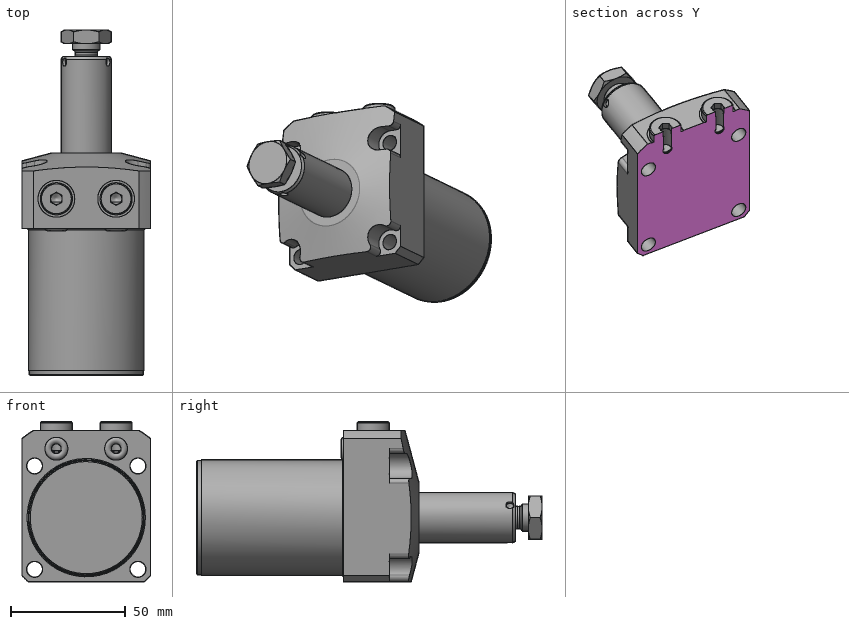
import cadquery as cq
import math


block_width = 56.0
block_length = 33.0
block_bottom = -block_width / 2
block_top = 38.0
top_corner_radius = 44.4
bottom_corner_chamfer = 2.75
nose_flat_radius = 15.0
nose_angle = 15.0

barrel_diameter = 50.5
barrel_length = 64.0
collar_diameter = 51.5
collar_length = 0.5
barrel_end_diameter = 49.8
barrel_end_length = 2.2
barrel_end_chamfer = 0.5

mount_spacing = 45.0
mount_hole_diameter = 6.8
pocket_radius = 5.5
pocket_depth = 13.0
pocket_mouth_radius = 2.0

port_spacing = 26.0
port_y = 13.0
plug_diameter = 14.0
plug_height = 3.81
plug_chamfer = 0.5
plug_seat_diameter = 16.0
plug_seat_depth = 0.2
plug_hex_size = 5.0
plug_hex_depth = 3.0
plug_hex_turn = 30.0
port_bore_diameter = 5.0
port_bore_bottom = 29.2
drill_tip_angle = 118.0
screw_z = 30.0
screw_diameter = 10.0
screw_bore_diameter = 4.2
screw_height = 1.0
screw_bore_end_y = port_y - 1.4

rod_diameter = 22.0
rod_end_y = block_length + 42.0
rod_chamfer_length = 1.3
rod_chamfer_width = 0.75
rod_seat_depth = 20.0
spanner_hole_diameter = 3.4
spanner_hole_depth = 1.5
spanner_hole_setback = 2.5
spanner_hole_angles = (30.0, 150.0, 270.0)

bolt_end_y = block_length + 53.5
bolt_head_height = 6.0
bolt_head_size = 19.0
bolt_head_chamfer_angle = 30.0
bolt_collar_diameter = 12.0
bolt_collar_length = 2.5
bolt_taper_length = 0.7
bolt_shank_diameter = 10.0
bolt_neck_diameter = 9.8
bolt_neck_length = 0.9
bolt_shank_end_y = rod_end_y - 12.0


def along_y(diameter, start, end, x=0.0, z=0.0):
    """Cylinder parallel to Y, from Y = start to Y = end."""
    section = cq.Workplane("XZ", origin=(x, start, z)).circle(diameter / 2)
    return section.extrude(start - end)


def along_z(diameter, start, end, x, y):
    """Cylinder parallel to Z, from Z = start to Z = end."""
    return cq.Workplane("XY", origin=(x, y, start)).circle(diameter / 2).extrude(end - start)


def turned(points):
    """Solid of revolution about Y, from (radius, y) points."""
    return cq.Workplane("XY").polyline(points).close().revolve(360, (0, 0, 0), (0, 1, 0))


def hexagon_diameter(across_flats):
    return across_flats / math.cos(math.pi / 6)


def drill_tip_length(radius):
    return radius / math.tan(math.radians(drill_tip_angle / 2))


def make_block():
    height = block_top - block_bottom
    middle_z = (block_top + block_bottom) / 2
    block = cq.Workplane("XY").box(block_width, block_length, height)
    block = block.translate((0, block_length / 2, middle_z))
    block = block.edges("|Y and <Z").chamfer(bottom_corner_chamfer)

    nose_drop = (top_corner_radius - nose_flat_radius) * math.tan(math.radians(nose_angle))
    envelope = turned([
        (0, 0),
        (top_corner_radius, 0),
        (top_corner_radius, block_length - nose_drop),
        (nose_flat_radius, block_length),
        (0, block_length),
    ])
    return block.intersect(envelope)


def make_barrel():
    barrel_radius = barrel_diameter / 2
    end_radius = barrel_end_diameter / 2
    return turned([
        (0, 0),
        (collar_diameter / 2, 0),
        (barrel_radius, -collar_length),
        (barrel_radius, barrel_end_length - barrel_length),
        (end_radius, barrel_end_length - barrel_length),
        (end_radius, barrel_end_chamfer - barrel_length),
        (end_radius - barrel_end_chamfer, -barrel_length),
        (0, -barrel_length),
    ])


def upper_pocket(wall):
    """Half-round slot toward local +X, with rounded mouth edges at the block side X = wall."""
    bend = wall - pocket_mouth_radius
    mouth = pocket_radius + pocket_mouth_radius
    arc_shift = pocket_mouth_radius * math.sqrt(0.5)
    return (
        cq.Workplane("XZ")
        .moveTo(0, pocket_radius)
        .lineTo(bend, pocket_radius)
        .threePointArc((bend + arc_shift, mouth - arc_shift), (wall, mouth))
        .lineTo(wall, -mouth)
        .threePointArc((bend + arc_shift, arc_shift - mouth), (bend, -pocket_radius))
        .lineTo(0, -pocket_radius)
        .threePointArc((-pocket_radius, 0), (0, pocket_radius))
        .close()
        .extrude(pocket_depth)
    )


def lower_pocket(wall):
    """Round pocket open to the side X = wall and to the bottom Z = -wall, both mouth edges rounded."""
    center_distance = pocket_radius + pocket_mouth_radius
    mouth_x = wall - pocket_mouth_radius
    mouth_z = math.sqrt(center_distance**2 - mouth_x**2)
    touch_x = mouth_x * pocket_radius / center_distance
    touch_z = mouth_z * pocket_radius / center_distance
    middle_angle = math.atan2(-mouth_z, -mouth_x) / 2
    middle_x = mouth_x + pocket_mouth_radius * math.cos(middle_angle)
    middle_z = mouth_z + pocket_mouth_radius * math.sin(middle_angle)
    diagonal = pocket_radius * math.sqrt(0.5)
    return (
        cq.Workplane("XZ")
        .moveTo(wall, mouth_z)
        .threePointArc((middle_x, middle_z), (touch_x, touch_z))
        .threePointArc((-diagonal, diagonal), (-touch_z, -touch_x))
        .threePointArc((-middle_z, -middle_x), (-mouth_z, -wall))
        .lineTo(wall, -wall)
        .close()
        .extrude(pocket_depth)
    )


def screw_pocket(side, level):
    """Pocket for the head of the mounting screw at one corner of the block."""
    center = mount_spacing / 2
    wall = block_width / 2 - center
    pocket = upper_pocket(wall) if level > 0 else lower_pocket(wall)
    if side < 0:
        pocket = pocket.mirror("YZ")
    return pocket.translate((side * center, block_length, level * center))


def add_plug(housing, x):
    seat_z = block_top - plug_seat_depth
    plug_top = block_top + plug_height
    seat = along_z(plug_seat_diameter, seat_z, block_top, x, port_y)
    plug = along_z(plug_diameter, seat_z, plug_top, x, port_y).faces(">Z").chamfer(plug_chamfer)
    return housing.cut(seat).union(plug)


def port_bore(x):
    """Hexagon socket of the plug, followed by the drilled bore with its conical tip."""
    plug_top = block_top + plug_height
    socket = (
        cq.Workplane("XY", origin=(x, port_y, plug_top))
        .transformed(rotate=(0, 0, plug_hex_turn))
        .polygon(6, hexagon_diameter(plug_hex_size))
        .extrude(-plug_hex_depth)
    )
    bore_radius = port_bore_diameter / 2
    bore = (
        cq.Workplane("XZ", origin=(x, port_y, 0))
        .moveTo(0, plug_top)
        .lineTo(bore_radius, plug_top)
        .lineTo(bore_radius, port_bore_bottom)
        .lineTo(0, port_bore_bottom - drill_tip_length(bore_radius))
        .close()
        .revolve(360, (0, 0, 0), (0, 1, 0))
    )
    return socket.union(bore)


def throttle_screw(x):
    """Ring-shaped screw head with a rounded crown, standing on the mounting face."""
    inner = screw_bore_diameter / 2
    outer = screw_diameter / 2
    return (
        cq.Workplane("XY", origin=(x, 0, screw_z))
        .moveTo(inner, 0)
        .threePointArc(((inner + outer) / 2, -screw_height), (outer, 0))
        .close()
        .revolve(360, (0, 0, 0), (0, 1, 0))
    )


def make_housing():
    housing = make_block().union(make_barrel())
    for side in (-1, 1):
        for level in (-1, 1):
            x = side * mount_spacing / 2
            z = level * mount_spacing / 2
            housing = housing.cut(along_y(mount_hole_diameter, 0, block_length, x, z))
            housing = housing.cut(screw_pocket(side, level))
    for side in (-1, 1):
        x = side * port_spacing / 2
        housing = add_plug(housing, x)
        housing = housing.union(throttle_screw(x))
        housing = housing.cut(port_bore(x))
        housing = housing.cut(along_y(screw_bore_diameter, -screw_height, screw_bore_end_y, x, screw_z))
    rod_recess = along_y(rod_diameter, block_length - rod_seat_depth, block_length)
    return housing.cut(rod_recess)


def make_rod():
    rod_radius = rod_diameter / 2
    rod_start_y = block_length - rod_seat_depth
    rod = turned([
        (0, rod_start_y),
        (rod_radius, rod_start_y),
        (rod_radius, rod_end_y - rod_chamfer_length),
        (rod_radius - rod_chamfer_width, rod_end_y),
        (0, rod_end_y),
    ])
    floor_x = rod_radius - spanner_hole_depth
    hole_radius = spanner_hole_diameter / 2
    spanner_hole = (
        cq.Workplane("XY", origin=(0, rod_end_y - spanner_hole_setback, 0))
        .moveTo(floor_x - drill_tip_length(hole_radius), 0)
        .lineTo(floor_x, hole_radius)
        .lineTo(rod_radius + spanner_hole_depth, hole_radius)
        .lineTo(rod_radius + spanner_hole_depth, 0)
        .close()
        .revolve(360, (0, 0, 0), (1, 0, 0))
    )
    for angle in spanner_hole_angles:
        rod = rod.cut(spanner_hole.rotate((0, 0, 0), (0, 1, 0), -angle))
    return rod.cut(along_y(bolt_shank_diameter, bolt_shank_end_y, rod_end_y))


def make_bolt():
    head_start_y = bolt_end_y - bolt_head_height
    collar_start_y = head_start_y - bolt_collar_length
    head = (
        cq.Workplane("XZ", origin=(0, head_start_y, 0))
        .polygon(6, hexagon_diameter(bolt_head_size))
        .extrude(-bolt_head_height)
    )
    flat_radius = bolt_head_size / 2
    corner_radius = hexagon_diameter(bolt_head_size) / 2
    corner_drop = (corner_radius - flat_radius) * math.tan(math.radians(bolt_head_chamfer_angle))
    head = head.intersect(turned([
        (0, head_start_y),
        (flat_radius, head_start_y),
        (corner_radius, head_start_y + corner_drop),
        (corner_radius, bolt_end_y - corner_drop),
        (flat_radius, bolt_end_y),
        (0, bolt_end_y),
    ]))
    shank_radius = bolt_shank_diameter / 2
    neck_radius = bolt_neck_diameter / 2
    neck_end_y = collar_start_y - 2 * bolt_taper_length
    neck_start_y = neck_end_y - bolt_neck_length
    collar_radius = bolt_collar_diameter / 2
    shank = turned([
        (0, bolt_shank_end_y),
        (shank_radius, bolt_shank_end_y),
        (shank_radius, neck_start_y),
        (neck_radius, neck_start_y),
        (neck_radius, neck_end_y),
        (shank_radius, neck_end_y),
        (shank_radius, collar_start_y - bolt_taper_length),
        (collar_radius, collar_start_y),
        (collar_radius, head_start_y),
        (0, head_start_y),
    ])
    return head.union(shank)


housing = make_housing()
rod = make_rod()
bolt = make_bolt()

result = cq.Compound.makeCompound([housing.val(), rod.val(), bolt.val()])